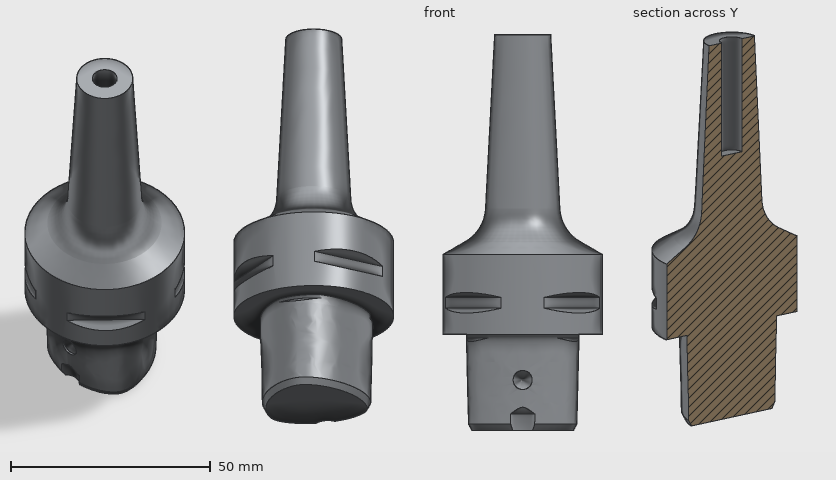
import cadquery as cq
import math

total_height = 99.0
flange_radius = 20.0
flange_bottom = 24.1
tip_radius = 7.0
neck_angle = math.radians(3)
neck_bottom = 55.4
blend_radius = 10.0
shoulder_angle = math.radians(30)
bore_radius = 3.1
bore_depth = 29.7

shank_radius_top = 14.1
shank_radius_bottom = 13.6
lobe_height = 1.0
straight_length = 2.5
chamfer_height = 1.7
chamfer_inset = 0.9
outline_points = 72

relief_radius = 14.2
relief_height = 0.9
relief_flare = 1.0

groove_count = 4
groove_floor = 17.4
groove_center_height = 32.0
groove_floor_width = 2.7
groove_rim_width = 5.1

dimple_radius = 2.4
dimple_height = 12.7
dimple_depth = 0.6
dimple_point_angle = math.radians(45)
notch_radius = 3.4
notch_offset = 1.3
notch_point_angle = math.radians(52)
notch_height = 4.2


def make_upper_body():
    """Revolve the flange, shoulder, blend and tapered neck."""
    neck_radius = tip_radius + (total_height - neck_bottom) * math.tan(neck_angle)
    center_r = neck_radius + blend_radius * math.cos(neck_angle)
    center_z = neck_bottom + blend_radius * math.sin(neck_angle)

    def blend_point(angle):
        """Point on the concave blend, angle measured below the inward radius."""
        return (
            center_r - blend_radius * math.cos(angle),
            center_z - blend_radius * math.sin(angle),
        )

    blend_end_angle = math.pi / 2 - shoulder_angle
    shoulder_top = blend_point(blend_end_angle)
    shoulder_drop = (flange_radius - shoulder_top[0]) * math.tan(shoulder_angle)
    return (
        cq.Workplane("XZ")
        .moveTo(0, flange_bottom)
        .lineTo(flange_radius, flange_bottom)
        .lineTo(flange_radius, shoulder_top[1] - shoulder_drop)
        .lineTo(*shoulder_top)
        .threePointArc(blend_point((blend_end_angle + neck_angle) / 2), blend_point(neck_angle))
        .lineTo(tip_radius, total_height)
        .lineTo(0, total_height)
        .close()
        .revolve(360, (0, 0, 0), (0, 1, 0))
    )


def lobed_point(mean_radius, turn):
    """Point of the three-lobed outline, with one lobe facing +Y."""
    normal = turn - math.pi / 2
    support = mean_radius + lobe_height * math.cos(3 * normal)
    slope = -3 * lobe_height * math.sin(3 * normal)
    return (
        support * math.cos(turn) - slope * math.sin(turn),
        support * math.sin(turn) + slope * math.cos(turn),
    )


def lobed_section(height, mean_radius):
    step = 2 * math.pi / outline_points
    points = [lobed_point(mean_radius, i * step) for i in range(outline_points)]
    return cq.Workplane("XY").workplane(offset=height).spline(points, periodic=True).wire()


def lobed_loft(low_height, low_radius, high_height, high_radius):
    low = lobed_section(low_height, low_radius).val()
    high = lobed_section(high_height, high_radius).val()
    return cq.Workplane(cq.Solid.makeLoft([low, high], True))


def make_shank():
    """Stack the chamfer, taper and straight stretch of the shank."""
    taper_top = flange_bottom - straight_length
    chamfer = lobed_loft(0, shank_radius_bottom - chamfer_inset, chamfer_height, shank_radius_bottom)
    taper = lobed_loft(chamfer_height, shank_radius_bottom, taper_top, shank_radius_top)
    straight = lobed_section(taper_top, shank_radius_top).extrude(straight_length)
    return chamfer.union(taper).union(straight)


def make_lobe_relief():
    """Ring that leaves a round collar, flaring out below it."""
    collar_bottom = flange_bottom - relief_height
    return (
        cq.Workplane("XZ")
        .moveTo(relief_radius, flange_bottom)
        .lineTo(relief_radius, collar_bottom)
        .lineTo(relief_radius + relief_flare, collar_bottom - relief_flare)
        .lineTo(relief_radius + relief_flare, flange_bottom)
        .close()
        .revolve(360, (0, 0, 0), (0, 1, 0))
    )


def make_gripper_groove(angle):
    """Straight groove with a flat floor and walls that open outward."""
    floor_half = groove_floor_width / 2
    rim_half = groove_rim_width / 2
    return (
        cq.Workplane("XZ")
        .moveTo(groove_floor, groove_center_height - floor_half)
        .lineTo(flange_radius, groove_center_height - rim_half)
        .lineTo(flange_radius, groove_center_height + rim_half)
        .lineTo(groove_floor, groove_center_height + floor_half)
        .close()
        .extrude(flange_radius, both=True)
        .rotate((0, 0, 0), (0, 0, 1), angle)
    )


def make_drill(radius, depth, point_angle, start, direction):
    """Drilled hole with a conical point beyond its full-diameter depth."""
    point_length = radius / math.tan(point_angle)
    start = cq.Vector(*start)
    direction = cq.Vector(*direction)
    body = cq.Solid.makeCylinder(radius, depth, start, direction)
    point = cq.Solid.makeCone(radius, 0, point_length, start + direction * depth, direction)
    return cq.Workplane(body).union(cq.Workplane(point))


def make_notch():
    """Upright drilled notch that opens through the -Y flank and the bottom."""
    flank = shank_radius_bottom - lobe_height
    start = (0, -flank - notch_offset, 0)
    return make_drill(notch_radius, notch_height, notch_point_angle, start, (0, 0, 1))


def make_dimple():
    """Conical dimple in the -Y flank, drilled from outside the flank."""
    outside = shank_radius_top
    flank = (shank_radius_top + shank_radius_bottom) / 2 - lobe_height
    depth = outside - flank + dimple_depth
    start = (0, -outside, dimple_height)
    return make_drill(dimple_radius, depth, dimple_point_angle, start, (0, 1, 0))


shank = make_shank().cut(make_lobe_relief()).cut(make_notch()).cut(make_dimple())

result = make_upper_body().union(shank)
for i in range(groove_count):
    result = result.cut(make_gripper_groove((i + 0.5) * 360 / groove_count))

bore_bottom = total_height - bore_depth
result = result.cut(cq.Workplane("XY").workplane(offset=bore_bottom).circle(bore_radius).extrude(bore_depth))